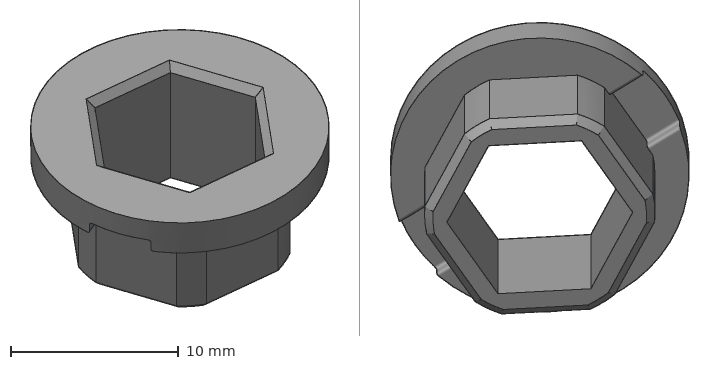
import cadquery as cq
import math

total_height = 8.71

flange_diameter = 17.78
flange_height = 2.35

body_across_flats = 12.68
body_corner_diameter = 13.73
body_height = total_height - flange_height
body_chamfer = 0.5

hole_across_flats = 9.6
hole_chamfer = 0.5

notch_width = 4.0
notch_height = 0.85
notch_corner_radius = 0.2


def across_corners(across_flats):
    """Corner-to-corner size of a regular hexagon."""
    return across_flats / math.cos(math.pi / 6)


def make_body():
    """Trimmed hexagon running from the bottom to the top of the flange."""
    hexagon = cq.Workplane("XY").polygon(6, across_corners(body_across_flats)).extrude(total_height)
    cylinder = cq.Workplane("XY").circle(body_corner_diameter / 2).extrude(total_height)
    return hexagon.intersect(cylinder).faces("<Z").chamfer(body_chamfer)


def make_flange():
    """Disc with a rounded slot across its underside; the body fills the middle of the slot."""
    underside = cq.Workplane("XY", origin=(0, 0, body_height))
    disc = underside.circle(flange_diameter / 2).extrude(flange_height)
    slot = underside.rect(notch_width, flange_diameter).extrude(notch_height)
    slot = slot.edges("|Y and >Z").fillet(notch_corner_radius)
    slotted_disc = disc.cut(slot)
    return slotted_disc.faces("<Z").edges("|Y").fillet(notch_corner_radius)


def make_hole():
    """Hexagonal bore that widens at its top."""
    bore = cq.Workplane("XY").polygon(6, across_corners(hole_across_flats)).extrude(total_height)
    mouth = (
        cq.Workplane("XY", origin=(0, 0, total_height))
        .polygon(6, across_corners(hole_across_flats + 2 * hole_chamfer))
        .workplane(offset=-hole_chamfer)
        .polygon(6, across_corners(hole_across_flats))
        .loft(ruled=True)
    )
    return bore.union(mouth)


result = make_body().union(make_flange()).cut(make_hole())